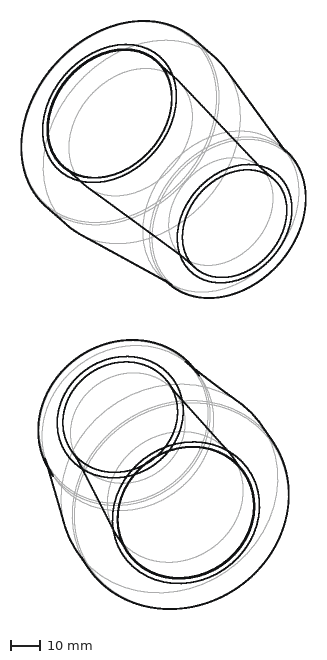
import cadquery as cq
import math

length = 90.0
large_outer_diameter = 76.1
small_outer_diameter = 60.3
large_bore_diameter = 47.7
small_bore_diameter = 40.3

taper_start = 23.0
taper_end = 79.9
bore_taper_start = 15.0

entry_chamfer = 0.3

land_width = 2.0
bevel_angle = 30.0
shoulder_radius = 1.0

large_radius = large_outer_diameter / 2
small_radius = small_outer_diameter / 2
large_bore_radius = large_bore_diameter / 2
small_bore_radius = small_bore_diameter / 2
large_land_radius = large_bore_radius + land_width
small_land_radius = small_bore_radius + land_width


def bevel_length(outer_radius, land_radius):
    """Axial length of a bevel leaning back from the end face."""
    return (outer_radius - land_radius) * math.tan(math.radians(bevel_angle))


def revolve_about_axis(profile):
    """Revolve a closed (x, radius) profile about the X axis."""
    return profile.close().revolve(360, (0, 0, 0), (1, 0, 0))


large_shoulder = bevel_length(large_radius, large_land_radius)
small_shoulder = length - bevel_length(small_radius, small_land_radius)

body = revolve_about_axis(
    cq.Workplane("XZ")
    .moveTo(0, 0)
    .lineTo(0, large_land_radius)
    .lineTo(large_shoulder, large_radius)
    .lineTo(taper_start, large_radius)
    .lineTo(taper_end, small_radius)
    .lineTo(small_shoulder, small_radius)
    .lineTo(length, small_land_radius)
    .lineTo(length, 0)
)

selection_gap = 0.1
for shoulder_position in (large_shoulder, small_shoulder):
    shoulder_edge = cq.selectors.BoxSelector(
        (shoulder_position - selection_gap, -length, -length),
        (shoulder_position + selection_gap, length, length),
    )
    body = body.edges(shoulder_edge).fillet(shoulder_radius)

bore = revolve_about_axis(
    cq.Workplane("XZ")
    .moveTo(0, 0)
    .lineTo(0, large_bore_radius + entry_chamfer)
    .lineTo(entry_chamfer, large_bore_radius)
    .lineTo(bore_taper_start, large_bore_radius)
    .lineTo(taper_end, small_bore_radius)
    .lineTo(length, small_bore_radius)
    .lineTo(length, 0)
)

result = body.cut(bore)